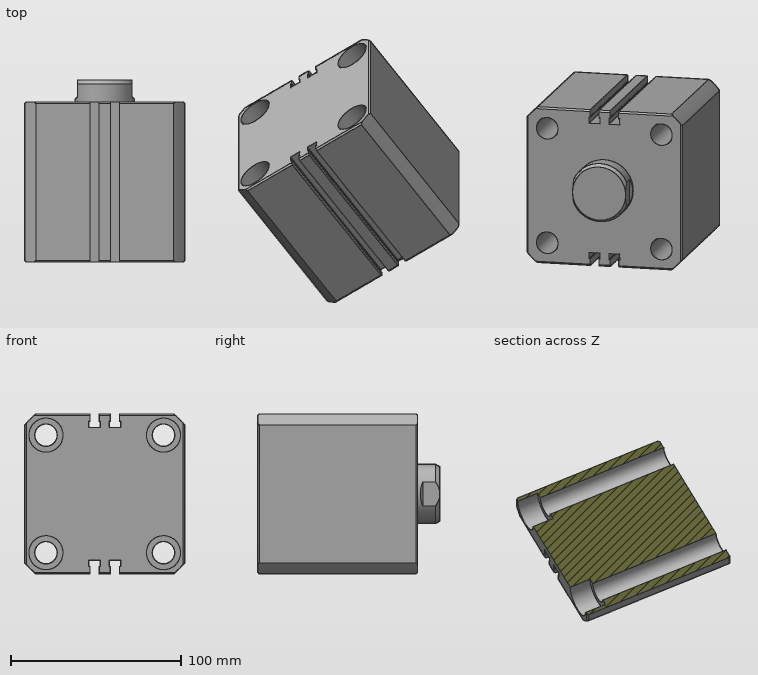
import cadquery as cq
import math

HOUSING_WIDTH = 94.0
HOUSING_LENGTH = 94.0
CORNER_DIAMETER = 124.0
END_CHAMFER = 1.0

HOLE_PITCH = 69.0
HOLE_DIAMETER = 13.0
COUNTERBORE_DIAMETER = 20.0
COUNTERBORE_DEPTH = 13.0

SLOT_SPACING = 12.0
SLOT_NECK_WIDTH = 5.3
SLOT_NECK_DEPTH = 4.4
SLOT_FLOOR_WIDTH = 6.5
SLOT_DEPTH = 8.0

ROD_DIAMETER = 35.0
ROD_LENGTH = 13.0
ROD_TIP_CHAMFER = 1.5
ROD_TIP_CHAMFER_ANGLE = 30.0
FLAT_SPACING = 32.0
FLAT_LENGTH = 10.0
FLAT_RUNOUT_ANGLE = 45.0

half_width = HOUSING_WIDTH / 2
rod_radius = ROD_DIAMETER / 2
rod_tip_y = HOUSING_LENGTH + ROD_LENGTH


def disc_along_y(diameter, length):
    """Cylinder on the Y axis, running from Y = 0 to Y = length."""
    return cq.Workplane("XZ").circle(diameter / 2).extrude(-length)


def make_slot(centre_x, side):
    """T-shaped slot along Y; side is +1 for the top face and -1 for the bottom face."""
    face_z = side * half_width
    shoulder_z = side * (half_width - SLOT_NECK_DEPTH)
    floor_z = side * (half_width - SLOT_DEPTH)
    half_neck = SLOT_NECK_WIDTH / 2
    half_floor = SLOT_FLOOR_WIDTH / 2
    return (
        cq.Workplane("XZ")
        .moveTo(centre_x - half_neck, face_z)
        .lineTo(centre_x - half_neck, shoulder_z)
        .lineTo(centre_x - half_floor, shoulder_z)
        .lineTo(centre_x - half_floor, floor_z)
        .lineTo(centre_x + half_floor, floor_z)
        .lineTo(centre_x + half_floor, shoulder_z)
        .lineTo(centre_x + half_neck, shoulder_z)
        .lineTo(centre_x + half_neck, face_z)
        .close()
        .extrude(-HOUSING_LENGTH)
    )


def make_housing():
    """Block with turned corners, chamfered ends, sensor slots and four mounting holes."""
    block = (
        cq.Workplane("XZ")
        .rect(HOUSING_WIDTH, HOUSING_WIDTH)
        .extrude(-HOUSING_LENGTH)
        .faces("<Y or >Y")
        .chamfer(END_CHAMFER)
        .intersect(disc_along_y(CORNER_DIAMETER, HOUSING_LENGTH))
    )
    for side in (-1, 1):
        for centre_x in (-SLOT_SPACING / 2, SLOT_SPACING / 2):
            block = block.cut(make_slot(centre_x, side))

    hole = disc_along_y(HOLE_DIAMETER, HOUSING_LENGTH).union(
        disc_along_y(COUNTERBORE_DIAMETER, COUNTERBORE_DEPTH)
    )
    for x in (-HOLE_PITCH / 2, HOLE_PITCH / 2):
        for z in (-HOLE_PITCH / 2, HOLE_PITCH / 2):
            block = block.cut(hole.translate((x, 0, z)))
    return block


def make_flat_cutter(side):
    """Material removed to leave one wrench flat; side is +1 or -1 along X."""
    flat_x = FLAT_SPACING / 2
    flat_end_y = rod_tip_y - FLAT_LENGTH
    outer_x = rod_radius
    runout = (outer_x - flat_x) / math.tan(math.radians(FLAT_RUNOUT_ANGLE))
    return (
        cq.Workplane("XY")
        .moveTo(side * flat_x, rod_tip_y)
        .lineTo(side * flat_x, flat_end_y)
        .lineTo(side * outer_x, flat_end_y - runout)
        .lineTo(side * outer_x, rod_tip_y)
        .close()
        .extrude(rod_radius, both=True)
    )


def make_piston_rod():
    """Rod revolved about Y with a tapered tip and two wrench flats."""
    tip_radius = rod_radius - ROD_TIP_CHAMFER
    taper_length = ROD_TIP_CHAMFER / math.tan(math.radians(ROD_TIP_CHAMFER_ANGLE))
    rod = (
        cq.Workplane("YZ")
        .moveTo(HOUSING_LENGTH, 0)
        .lineTo(HOUSING_LENGTH, rod_radius)
        .lineTo(rod_tip_y - taper_length, rod_radius)
        .lineTo(rod_tip_y, tip_radius)
        .lineTo(rod_tip_y, 0)
        .close()
        .revolve(360, (0, 0), (1, 0))
    )
    for side in (-1, 1):
        rod = rod.cut(make_flat_cutter(side))
    return rod


housing = make_housing()
piston_rod = make_piston_rod()

result = cq.Compound.makeCompound([housing.val(), piston_rod.val()])